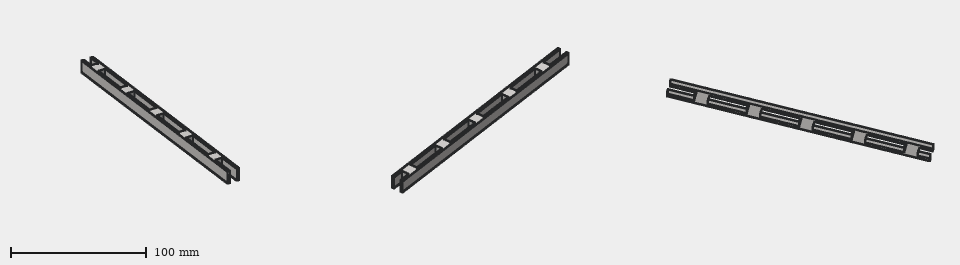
import cadquery as cq

length = 200.0
width = 10.0
height = 10.0

rail_thickness = 2.0
block_length = 10.0
block_pitch = 40.0
block_count = 5
first_block_start = 10.0


def make_rail(y_start):
    """Full-length side plate whose lower Y face lies at y_start."""
    rail = cq.Workplane("XY").box(length, rail_thickness, height, centered=False)
    return rail.translate((0, y_start, 0))


def make_block(x_start):
    """Solid spacer block across the full width of the bar."""
    block = cq.Workplane("XY").box(block_length, width, height, centered=False)
    return block.translate((x_start, 0, 0))


result = make_rail(0).union(make_rail(width - rail_thickness))
for block_index in range(block_count):
    block_start = first_block_start + block_index * block_pitch
    result = result.union(make_block(block_start))

result = result.clean()